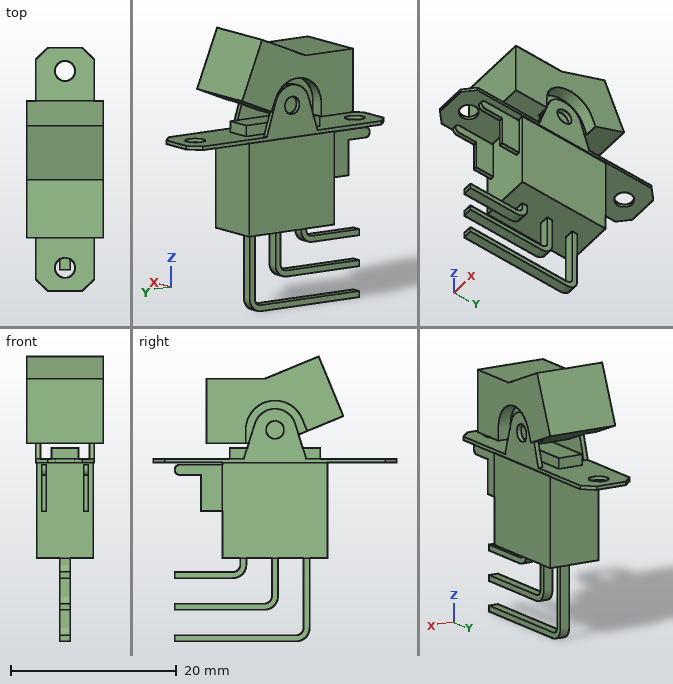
import cadquery as cq
import math


BODY_WIDTH = 6.86
BODY_LENGTH = 12.70
BODY_HEIGHT = 11.49

PLATE_WIDTH = 7.06
PLATE_LENGTH = 29.36
PLATE_THICKNESS = 0.46
PLATE_CORNER_X = 1.47
PLATE_CORNER_Y = 1.40
SCREW_HOLE_DIAMETER = 2.40
SCREW_HOLE_SPACING = 23.72

BLOCK_WIDTH = 3.30
BLOCK_LENGTH = 10.92
BLOCK_TOP_Z = 1.80

PIVOT_Z = 3.96
EAR_THICKNESS = 0.60
EAR_BASE_WIDTH = 7.56
EAR_TIP_RADIUS = 2.54
PIVOT_HOLE_DIAMETER = 2.16

ROCKER_WIDTH = 9.27
ROCKER_TILT = 22.5
ROCKER_REACH = 8.26
ROCKER_TOP = 6.17
ROCKER_BOTTOM = -1.63
EAR_RECESS_RADIUS = 3.53

TERMINAL_WIDTH = 1.27
TERMINAL_THICKNESS = 0.76
TERMINAL_PITCH = 3.81
TERMINAL_BEND_INNER = 0.90
TERMINAL_COUNT = 3
TERMINAL_END_Y = -12.10
FIRST_TERMINAL_DROP = 2.06

HOOK_SPACING = 5.08
HOOK_THICKNESS = 0.50
HOOK_TOP_Z = -0.23
HOOK_FINGER_HEIGHT = 1.26
HOOK_ROOT_DEPTH = 2.58
HOOK_ROOT_HEIGHT = 5.61

HALF_TILT = math.radians(ROCKER_TILT / 2)
TOP_FOLD_Y = -ROCKER_TOP * math.tan(HALF_TILT)
UNDERSIDE_FOLD_Y = -ROCKER_BOTTOM * math.tan(HALF_TILT)
EAR_INNER_X = PLATE_WIDTH / 2 - EAR_THICKNESS


def extrude_along_x(profile, x_start, length):
    """Extrude a YZ profile by length in +X, starting at x_start."""
    return profile.extrude(length).translate((x_start, 0, 0))


def make_body():
    underside = cq.Workplane("XY", origin=(0, 0, -BODY_HEIGHT))
    return underside.box(BODY_WIDTH, BODY_LENGTH, BODY_HEIGHT, centered=(True, True, False))


def make_plate():
    half_x = PLATE_WIDTH / 2
    half_y = PLATE_LENGTH / 2
    short_x = half_x - PLATE_CORNER_X
    short_y = half_y - PLATE_CORNER_Y
    outline = [
        (-half_x, -short_y),
        (-short_x, -half_y),
        (short_x, -half_y),
        (half_x, -short_y),
        (half_x, short_y),
        (short_x, half_y),
        (-short_x, half_y),
        (-half_x, short_y),
    ]
    plate = cq.Workplane("XY").polyline(outline).close().extrude(PLATE_THICKNESS)
    holes = (
        cq.Workplane("XY")
        .rarray(1, SCREW_HOLE_SPACING, 1, 2)
        .circle(SCREW_HOLE_DIAMETER / 2)
        .extrude(PLATE_THICKNESS)
    )
    return plate.cut(holes)


def make_block():
    return cq.Workplane("XY").box(BLOCK_WIDTH, BLOCK_LENGTH, BLOCK_TOP_Z, centered=(True, True, False))


def make_ear(x_start):
    """Tapered ear whose straight flanks run tangent into the round tip."""
    base_half = EAR_BASE_WIDTH / 2
    base_drop = PIVOT_Z - PLATE_THICKNESS
    base_distance = math.hypot(base_half, base_drop)
    tangent_angle = math.acos(EAR_TIP_RADIUS / base_distance) - math.atan2(base_drop, base_half)
    tangent_y = EAR_TIP_RADIUS * math.cos(tangent_angle)
    tangent_z = PIVOT_Z + EAR_TIP_RADIUS * math.sin(tangent_angle)
    profile = (
        cq.Workplane("YZ")
        .moveTo(-base_half, 0)
        .lineTo(base_half, 0)
        .lineTo(base_half, PLATE_THICKNESS)
        .lineTo(tangent_y, tangent_z)
        .threePointArc((0, PIVOT_Z + EAR_TIP_RADIUS), (-tangent_y, tangent_z))
        .lineTo(-base_half, PLATE_THICKNESS)
        .close()
    )
    hole = cq.Workplane("YZ").center(0, PIVOT_Z).circle(PIVOT_HOLE_DIAMETER / 2)
    ear = extrude_along_x(profile, x_start, EAR_THICKNESS)
    return ear.cut(extrude_along_x(hole, x_start, EAR_THICKNESS))


def raised(y, z):
    """Mirror a point of the level wing, relative to the pivot, onto the raised wing."""
    tilt = math.radians(ROCKER_TILT)
    return (-y * math.cos(tilt) - z * math.sin(tilt), -y * math.sin(tilt) + z * math.cos(tilt))


def make_rocker():
    level_top = (-ROCKER_REACH, ROCKER_TOP)
    level_bottom = (-ROCKER_REACH, ROCKER_BOTTOM)
    outline = [
        (TOP_FOLD_Y, ROCKER_TOP),
        level_top,
        level_bottom,
        (UNDERSIDE_FOLD_Y, ROCKER_BOTTOM),
        raised(*level_bottom),
        raised(*level_top),
    ]
    profile = cq.Workplane("YZ", origin=(0, 0, PIVOT_Z)).polyline(outline).close()
    rocker = extrude_along_x(profile, -ROCKER_WIDTH / 2, ROCKER_WIDTH)

    recess_depth = ROCKER_WIDTH / 2 - EAR_INNER_X
    for x_start in (-ROCKER_WIDTH / 2, EAR_INNER_X):
        rocker = rocker.cut(extrude_along_x(ear_recess_profile(), x_start, recess_depth))
    return rocker


def ear_recess_profile():
    """Round-topped recess around the ear, each side square to the wing it opens from."""
    side = EAR_RECESS_RADIUS
    crown = (-side * math.sin(HALF_TILT), side * math.cos(HALF_TILT))
    return (
        cq.Workplane("YZ", origin=(0, 0, PIVOT_Z))
        .moveTo(-side, ROCKER_BOTTOM)
        .lineTo(-side, 0)
        .threePointArc(crown, raised(-side, 0))
        .lineTo(*raised(-side, ROCKER_BOTTOM))
        .lineTo(UNDERSIDE_FOLD_Y, ROCKER_BOTTOM)
        .close()
    )


def make_terminal(index):
    """L-shaped terminal; each one further towards +Y drops one pitch lower."""
    half = TERMINAL_THICKNESS / 2
    middle_y = (index - (TERMINAL_COUNT - 1) / 2) * TERMINAL_PITCH
    middle_z = -BODY_HEIGHT - FIRST_TERMINAL_DROP - index * TERMINAL_PITCH
    outer_radius = TERMINAL_BEND_INNER + TERMINAL_THICKNESS
    profile = (
        cq.Workplane("YZ")
        .moveTo(middle_y + half, -BODY_HEIGHT)
        .lineTo(middle_y + half, middle_z - half + outer_radius)
        .radiusArc((middle_y + half - outer_radius, middle_z - half), outer_radius)
        .lineTo(TERMINAL_END_Y, middle_z - half)
        .lineTo(TERMINAL_END_Y, middle_z + half)
        .lineTo(middle_y - half - TERMINAL_BEND_INNER, middle_z + half)
        .radiusArc((middle_y - half, middle_z + half + TERMINAL_BEND_INNER), -TERMINAL_BEND_INNER)
        .lineTo(middle_y - half, -BODY_HEIGHT)
        .close()
    )
    return extrude_along_x(profile, -TERMINAL_WIDTH / 2, TERMINAL_WIDTH)


def make_hook(x_middle):
    """Flat hook with a round-tipped finger under the plate, as long as the terminals."""
    body_y = -BODY_LENGTH / 2
    root_y = body_y - HOOK_ROOT_DEPTH
    finger_radius = HOOK_FINGER_HEIGHT / 2
    finger_end_y = TERMINAL_END_Y + finger_radius
    finger_bottom_z = HOOK_TOP_Z - HOOK_FINGER_HEIGHT
    root_bottom_z = HOOK_TOP_Z - HOOK_ROOT_HEIGHT
    profile = (
        cq.Workplane("YZ")
        .moveTo(body_y, HOOK_TOP_Z)
        .lineTo(finger_end_y, HOOK_TOP_Z)
        .threePointArc((TERMINAL_END_Y, HOOK_TOP_Z - finger_radius), (finger_end_y, finger_bottom_z))
        .lineTo(root_y, finger_bottom_z)
        .lineTo(root_y, root_bottom_z)
        .lineTo(body_y, root_bottom_z)
        .close()
    )
    return extrude_along_x(profile, x_middle - HOOK_THICKNESS / 2, HOOK_THICKNESS)


result = make_body().union(make_plate()).union(make_block())
for ear_x in (-PLATE_WIDTH / 2, EAR_INNER_X):
    result = result.union(make_ear(ear_x))
result = result.union(make_rocker())
for terminal_index in range(TERMINAL_COUNT):
    result = result.union(make_terminal(terminal_index))
for hook_x in (-HOOK_SPACING / 2, HOOK_SPACING / 2):
    result = result.union(make_hook(hook_x))